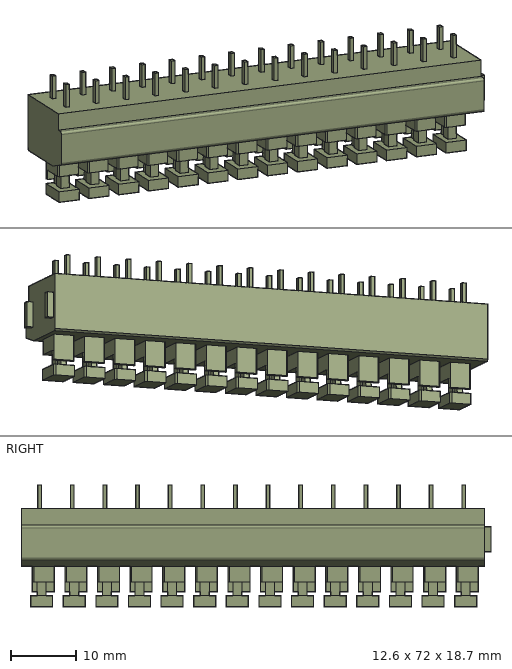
import cadquery as cq


pole_count = 14
pole_pitch = 5.0
first_pole_y = 2.8

housing_length = 71.0
housing_depth = 12.6
housing_height = 8.9
housing_top_depth = 11.45
step_z = 6.3
nose_slope_start_x = 9.3
nose_slope_end_z = 1.0
nose_radius = 0.4
toe_chamfer = 0.3

pins_per_pole = 2
pin_size_x = 0.9
pin_size_y = 0.6
pin_length = 3.6
pin_row_x = 3.2
pin_row_spacing = 5.0

peg_count = 2
peg_size_x = 1.1
peg_length = 1.0
peg_height = 3.9
peg_bottom_z = 2.2
first_peg_x = 0.75
peg_spacing = 8.7

guide_x = 2.95
guide_size_x = 4.75
guide_size_y = 3.4
guide_height = 2.4
guide_y_offset = 0.55
guide_chamfer = 0.25
lip_thickness = 0.8
lip_height = 3.9

bar_x = 3.65
bar_size_x = 4.95
bar_size_y = 3.4
bar_height = 1.7
bar_y_offset = 0.3
bar_chamfer = 0.3
bar_bottom_z = -6.2

stem_front_x = 3.85
stem_slope_run = 0.4
stem_step_x = 5.35
stem_back_x = 7.1
stem_narrow_y = 0.9
stem_wide_y = 1.4


def box(x, y, z, size_x, size_y, size_z):
    """Box centred on y, starting at x and z."""
    blank = cq.Workplane("XY").box(size_x, size_y, size_z, centered=(False, True, False))
    return blank.translate((x, y, z))


def extrude_along_y(outline, y, length):
    """Solid from an XZ outline, centred on y."""
    return outline.extrude(length / 2, both=True).translate((0, y, 0))


def make_housing():
    outline = (
        cq.Workplane("XZ")
        .moveTo(toe_chamfer, 0)
        .lineTo(nose_slope_start_x, 0)
        .lineTo(housing_depth, nose_slope_end_z)
        .lineTo(housing_depth, step_z)
        .lineTo(housing_top_depth, step_z)
        .lineTo(housing_top_depth, housing_height)
        .lineTo(0, housing_height)
        .lineTo(0, toe_chamfer)
        .close()
    )
    housing = extrude_along_y(outline, housing_length / 2, housing_length)
    return housing.edges("|Y and >X").fillet(nose_radius)


def make_peg(index):
    x = first_peg_x + index * peg_spacing
    y = housing_length + peg_length / 2
    return box(x, y, peg_bottom_z, peg_size_x, peg_length, peg_height)


def make_pin(row, pole_y):
    x = pin_row_x + row * pin_row_spacing - pin_size_x / 2
    return box(x, pole_y, housing_height, pin_size_x, pin_size_y, pin_length)


def make_guide(pole_y):
    """Block and lip as one L outline, with both upright -Y corners chamfered."""
    y = pole_y + guide_y_offset
    back_x = guide_x + guide_size_x
    lip_back_x = guide_x + lip_thickness
    outline = (
        cq.Workplane("XZ")
        .moveTo(guide_x, 0)
        .lineTo(back_x, 0)
        .lineTo(back_x, -guide_height)
        .lineTo(lip_back_x, -guide_height)
        .lineTo(lip_back_x, -lip_height)
        .lineTo(guide_x, -lip_height)
        .close()
    )
    guide = extrude_along_y(outline, y, guide_size_y)
    guide = guide.edges("|Z and <Y and <X").chamfer(guide_chamfer)
    return guide.edges("|Z and <Y and >X").chamfer(guide_chamfer)


def make_bar(pole_y):
    """Push bar with its upright -X, +Y corner chamfered."""
    bar = box(bar_x, pole_y + bar_y_offset, bar_bottom_z, bar_size_x, bar_size_y, bar_height)
    return bar.edges("|Z and >Y and <X").chamfer(bar_chamfer)


def make_stem(pole_y):
    """Narrow part with a sloped -X face, backed by a wider part."""
    y = pole_y + bar_y_offset
    bottom_z = bar_bottom_z + bar_height
    outline = (
        cq.Workplane("XZ")
        .moveTo(stem_front_x, bottom_z)
        .lineTo(stem_step_x, bottom_z)
        .lineTo(stem_step_x, -guide_height)
        .lineTo(stem_front_x + stem_slope_run, -guide_height)
        .close()
    )
    narrow = extrude_along_y(outline, y, stem_narrow_y)
    stem_height = -guide_height - bottom_z
    wide = box(stem_step_x, y, bottom_z, stem_back_x - stem_step_x, stem_wide_y, stem_height)
    return narrow.union(wide)


def make_pole(pole_y):
    """Solids of one pole: its actuator and its pins."""
    actuator = make_bar(pole_y).union(make_stem(pole_y)).union(make_guide(pole_y))
    pins = [make_pin(row, pole_y) for row in range(pins_per_pole)]
    return [actuator] + pins


result = make_housing()
for peg_index in range(peg_count):
    result = result.union(make_peg(peg_index))
for pole_index in range(pole_count):
    for solid in make_pole(first_pole_y + pole_index * pole_pitch):
        result = result.union(solid)